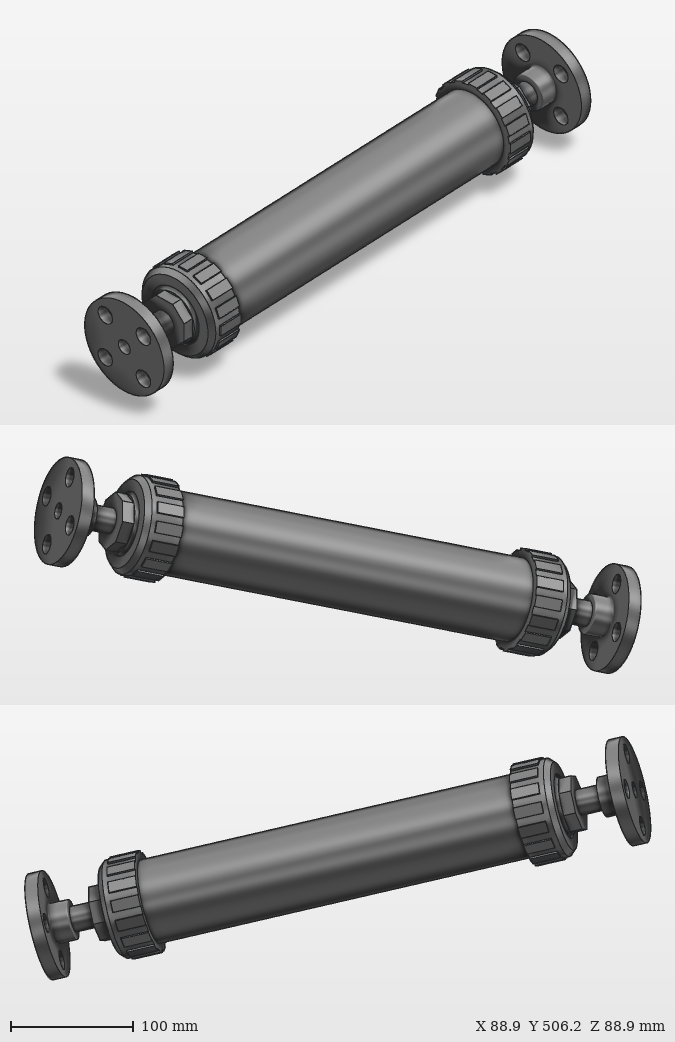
import cadquery as cq
import math

overall_length = 506.22

flange_diameter = 88.9
flange_thickness = 11.1
bolt_hole_diameter = 16.0
bolt_circle_diameter = 60.3
bolt_hole_count = 4
first_bolt_angle = 180 / bolt_hole_count

hub_diameter = 33.54
hub_length = 16.5
hub_fillet = 1.0

pipe_diameter = 21.34
bore_diameter = 13.36

octagon_across_flats = 44.4
octagon_sides = 8
octagon_thickness = 10.1
collar_thickness = 2.6

nut_diameter = 82.4
nut_length = 33.0
nut_recess_diameter = 54.0
nut_recess_depth = 2.2
nut_chamfer_length = 4.7
nut_chamfer_height = 4.3
rib_count = 16
rib_width = 9.6
rib_length = 23.7
rib_height = 1.3

tube_diameter = 69.85

nut_face_setback = 60.2

flange_face = overall_length / 2
flange_back = flange_face - flange_thickness
hub_end = flange_back - hub_length
nut_face = flange_face - nut_face_setback
nut_end = nut_face - nut_length
recess_floor = nut_face - nut_recess_depth
collar_face = nut_face + collar_thickness
octagon_face = collar_face + octagon_thickness
octagon_circumdiameter = octagon_across_flats / math.cos(math.pi / octagon_sides)


def disc(diameter, start, end):
    """Cylinder on the Z axis between two heights."""
    return cq.Workplane("XY").workplane(offset=start).circle(diameter / 2).extrude(end - start)


def make_flange():
    """Bolted flange with a round hub behind it."""
    flange = disc(flange_diameter, flange_back, flange_face).union(disc(hub_diameter, hub_end, flange_back))
    flange = flange.edges(cq.selectors.RadiusNthSelector(0)).fillet(hub_fillet)
    bolt_holes = (
        cq.Workplane("XY")
        .workplane(offset=flange_back)
        .polarArray(bolt_circle_diameter / 2, first_bolt_angle, 360, bolt_hole_count)
        .circle(bolt_hole_diameter / 2)
        .extrude(flange_thickness)
    )
    return flange.cut(bolt_holes)


def make_octagon():
    """Octagonal wrench grip on a round collar that flares out inside the nut recess."""
    grip = (
        cq.Workplane("XY")
        .workplane(offset=collar_face)
        .transformed(rotate=(0, 0, 180 / octagon_sides))
        .polygon(octagon_sides, octagon_circumdiameter)
        .extrude(octagon_thickness)
    )
    collar_radius = octagon_circumdiameter / 2
    root_radius = nut_recess_diameter / 2
    flare = root_radius - collar_radius
    half_way = math.pi / 4
    arc_middle = (
        root_radius - flare * math.sin(half_way),
        recess_floor + flare * (1 - math.cos(half_way)),
    )
    collar = (
        cq.Workplane("XZ")
        .moveTo(0, recess_floor)
        .lineTo(root_radius, recess_floor)
        .threePointArc(arc_middle, (collar_radius, recess_floor + flare))
        .lineTo(collar_radius, collar_face)
        .lineTo(0, collar_face)
        .close()
        .revolve(360, (0, 0, 0), (0, 1, 0))
    )
    return grip.union(collar)


def make_nut():
    """Union nut with a chamfered, recessed face and raised flat-topped grip ribs."""
    nut = disc(nut_diameter, nut_end, nut_face)
    nut = nut.faces(">Z").edges().chamfer(nut_chamfer_length, nut_chamfer_height)
    nut = nut.cut(disc(nut_recess_diameter, recess_floor, nut_face))
    rib_top = nut_diameter / 2 + rib_height
    rib = (
        cq.Workplane("XY")
        .workplane(offset=nut_end)
        .center((tube_diameter / 2 + rib_top) / 2, 0)
        .rect(rib_top - tube_diameter / 2, rib_width)
        .extrude(rib_length)
    )
    for index in range(rib_count):
        nut = nut.union(rib.rotate((0, 0, 0), (0, 0, 1), index * 360 / rib_count))
    return nut


def make_end():
    """Nut, wrench grip, pipe and flange of one end, along +Z, with the blind bore."""
    end = make_nut().union(make_octagon())
    end = end.union(disc(pipe_diameter, octagon_face, hub_end))
    end = end.union(make_flange())
    return end.cut(disc(bore_diameter, octagon_face, flange_face))


def turn_to_y(body):
    """Lay a body built along Z down along -Y."""
    return body.rotate((0, 0, 0), (1, 0, 0), 90)


tube = turn_to_y(disc(tube_diameter, -nut_end, nut_end))
front_end = turn_to_y(make_end())
back_end = front_end.mirror("XZ")
result = tube.union(front_end).union(back_end)